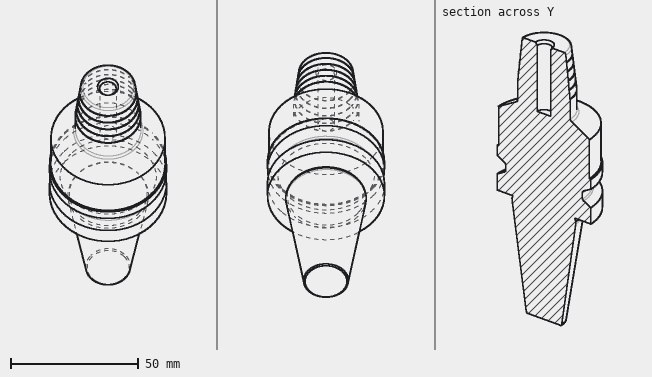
import cadquery as cq
import math

total_height = 123.4

gauge_radius = 15.8
gauge_height = 48.5
taper_ratio = 7 / 24
shank_end_radius = gauge_radius - gauge_height * taper_ratio / 2
shank_end_chamfer = 0.5

band_top = 49.4
neck_radius = 15.3

flange_diameter = 46.0
flange_radius = flange_diameter / 2
flange_bottom = 50.5
flange_top = 70.8
flange_top_chamfer = 0.2
groove_bottom = 57.9
groove_top = 66.1
groove_root_radius = 19.0
groove_wall_angle = 30.0
groove_root_fillet = 0.9
groove_wall_drop = (flange_radius - groove_root_radius) * math.tan(math.radians(groove_wall_angle))

body_radius = 22.5
shoulder_bottom = 88.4
shoulder_angle = 30.0
nose_base_radius = 13.0
shoulder_top = shoulder_bottom + (body_radius - nose_base_radius) * math.tan(math.radians(shoulder_angle))
shoulder_fillet = 1.4

nose_cone_length = 20.0
ring_count = 5
ring_pitch = nose_cone_length / ring_count
nose_cone_bottom = total_height - nose_cone_length
nose_tip_radius = 10.7
nose_tip_round = 0.9
ring_groove_width = 0.2
ring_cutter_overhang = 1.2
ring_groove_depth = 0.1

bore_radius = 3.2
bore_depth = 30.8
bore_mouth_radius = 4.1
bore_mouth_depth = 1.2


def revolve_profile(points):
    """Turn a closed (radius, height) outline about the Z axis."""
    return cq.Workplane("XZ").polyline(points).close().revolve(360, (0, 0, 0), (0, 1, 0))


def round_edges_at(solid, radius, height, fillet):
    """Fillet the circular edges of the given radius and height."""
    tolerance = 0.01
    reach = radius + tolerance
    selector = cq.selectors.BoxSelector(
        (-reach, -reach, height - tolerance),
        (reach, reach, height + tolerance),
        boundingbox=True,
    )
    return solid.edges(selector).edges("%CIRCLE").fillet(fillet)


def nose_radius_at(height):
    """Radius of the nose cone at a height."""
    fraction = (total_height - height) / (total_height - nose_cone_bottom)
    return nose_tip_radius + fraction * (nose_base_radius - nose_tip_radius)


def make_holder():
    """Solid outer form of the holder with its rounded corners."""
    root_bottom = groove_bottom + groove_wall_drop
    root_top = groove_top - groove_wall_drop
    holder = revolve_profile([
        (0, 0),
        (shank_end_radius - shank_end_chamfer, 0),
        (shank_end_radius + shank_end_chamfer * taper_ratio / 2, shank_end_chamfer),
        (gauge_radius, gauge_height),
        (gauge_radius, band_top),
        (neck_radius, flange_bottom),
        (flange_radius, flange_bottom),
        (flange_radius, groove_bottom),
        (groove_root_radius, root_bottom),
        (groove_root_radius, root_top),
        (flange_radius, groove_top),
        (flange_radius, flange_top - flange_top_chamfer),
        (flange_radius - flange_top_chamfer, flange_top),
        (body_radius, flange_top),
        (body_radius, shoulder_bottom),
        (nose_base_radius, shoulder_top),
        (nose_base_radius, nose_cone_bottom),
        (nose_tip_radius, total_height),
        (0, total_height),
    ])
    for height in (root_bottom, root_top):
        holder = round_edges_at(holder, groove_root_radius, height, groove_root_fillet)
    holder = round_edges_at(holder, nose_base_radius, shoulder_top, shoulder_fillet)
    return round_edges_at(holder, nose_tip_radius, total_height, nose_tip_round)


def make_ring_groove(height):
    """Cutter for one shallow V-shaped ring groove, centred on a height."""
    half_width = ring_groove_width / 2
    upper = height + half_width
    lower = height - half_width
    return revolve_profile([
        (nose_radius_at(height) - ring_groove_depth, height),
        (nose_radius_at(upper), upper),
        (nose_base_radius + ring_cutter_overhang, upper),
        (nose_base_radius + ring_cutter_overhang, lower),
        (min(nose_radius_at(lower), nose_base_radius), lower),
    ])


def make_bore():
    """Cutter for the flat-bottomed bore and its conical mouth."""
    bore_bottom = total_height - bore_depth
    return revolve_profile([
        (0, bore_bottom),
        (bore_radius, bore_bottom),
        (bore_radius, total_height - bore_mouth_depth),
        (bore_mouth_radius, total_height),
        (0, total_height),
    ])


result = make_holder()
for ring in range(1, ring_count + 1):
    result = result.cut(make_ring_groove(total_height - ring * ring_pitch))
result = result.cut(make_bore())